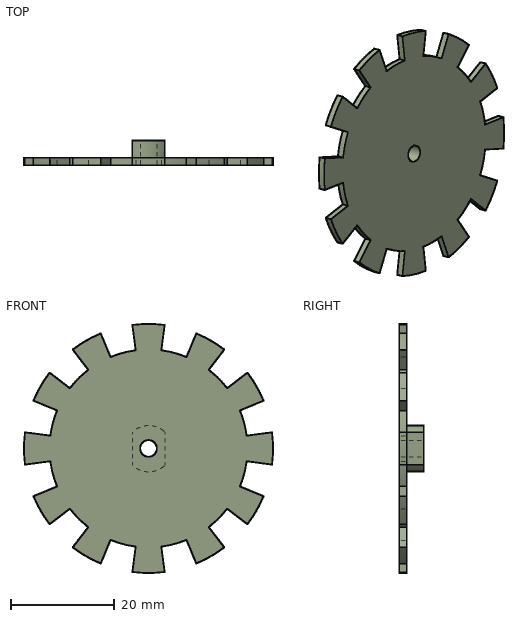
import cadquery as cq
import math

outer_diameter = 48.15
disc_diameter = 38.3
plate_thickness = 1.5
tooth_count = 12
tooth_pitch_angle = 360.0 / tooth_count
tooth_angle = tooth_pitch_angle / 2

total_depth = 4.8
hub_diameter = 8.95
hub_width_across_flats = 6.35
bore_diameter = 3.2


def plate_workplane():
    """Plane of the outer -Y face, with its normal along +Y and its local y axis along +Z."""
    return cq.Workplane(cq.Plane(origin=(0, 0, 0), xDir=(-1, 0, 0), normal=(0, 1, 0)))


def point_at(radius, angle_degrees):
    angle = math.radians(angle_degrees)
    return (radius * math.cos(angle), radius * math.sin(angle))


def make_tooth(center_angle):
    """Sector with radial sides, running from the wheel axis to the outer diameter."""
    radius = outer_diameter / 2
    half_angle = tooth_angle / 2
    return (
        plate_workplane()
        .lineTo(*point_at(radius, center_angle - half_angle))
        .threePointArc(
            point_at(radius, center_angle),
            point_at(radius, center_angle + half_angle),
        )
        .close()
        .extrude(plate_thickness)
    )


def make_hub():
    flats = plate_workplane().rect(hub_width_across_flats, hub_diameter).extrude(total_depth)
    return plate_workplane().circle(hub_diameter / 2).extrude(total_depth).intersect(flats)


wheel = plate_workplane().circle(disc_diameter / 2).extrude(plate_thickness)
for index in range(tooth_count):
    wheel = wheel.union(make_tooth(index * tooth_pitch_angle))

bore = plate_workplane().circle(bore_diameter / 2).extrude(total_depth)
result = wheel.union(make_hub()).cut(bore)